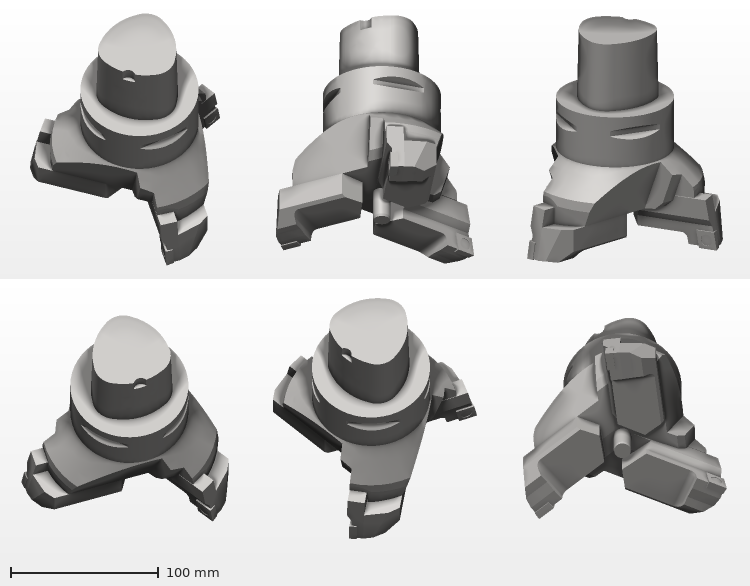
import cadquery as cq
import math

ARM_TURNS = [0, -117, 123]
REACH = 118.4

TOP_Z = 148
FLANGE_TOP_Z = 99.9
FLANGE_BOTTOM_Z = 63.6
FLANGE_RADIUS = 80.0 / 2
LOBE_REACH = 29.6
SIDE_REACH = 25.8
JOINT_REACH = 28.0
JOINT_ANGLE = 39.7
SHANK_SHRINK = 1.2
KEYWAY_RADIUS = 5.0
KEYWAY_CENTRE_Y = -26.8
KEYWAY_DEPTH = 8.1

SLOT_Z = 87.8
SLOT_MOUTH = 9.0
SLOT_FLOOR = 3.5
SLOT_DEPTH = 4.5
SLOT_TURNS = [45, 135, 225, 315]

CONE_END_Z = 44.3
CONE_END_RADIUS = FLANGE_RADIUS + FLANGE_BOTTOM_Z - CONE_END_Z
RIM_Z = 37.9
RIM_RADIUS = 60.8
HUB_BASE_RADIUS = 60.4
HUB_BASE_Z = 24.1
NOSE_X = -60.0
PIN_RADIUS = 12.0 / 2
PIN_BOTTOM_Z = 2.4
PIN_CHAMFER_HEIGHT = 1.8
PIN_CHAMFER_WIDTH = 0.5

FACE_Y = 4.6
BACK_Y = -30.2
PLATE_BACK_Y = -7.1
PLATE_TOP_Z = 36.1
BLOCK_TOP_Z = 27.1
SEAT_SLOPE = 0.128
RAKE_Y = 1.2
RAKE_TOP_Z = 16.6
FACE_BOTTOM_Z = 21.9
FOOT_Z = 1.2
FOOT_RELIEF_Z = 2.2
FOOT_RELIEF_Y = -14.8
BACK_CHAMFER = 9.0
TIP_X = -68.4
TIP_LEAN = 0.185
TIP_RELIEF = 0.19
CORNER_X = -62.5
CORNER_SLOPE = 0.67
SOLE_Z = 9.2
ARCH_OUTER_X = -54.6
ARCH_LEAN = 1.5
ARCH_RADIUS = 4.5
INNER_END = [(-19.1, FACE_Y), (-6.7, -16.3), (-15.0, BACK_Y)]
PLATE_GAP = 0.5

FLOOR_TILT = 16.5
STEP_Y = 13.0
SHELF_CORNER_X = -47.5
SHELF_CORNER_Z = 54.2
SHELF_BOTTOM_Z = 32.9

INSERT_FRONT_Y = 2.5
INSERT_THICKNESS = 5.3
INSERT_CORNERS = [(-75.8, 0), (-62.8, 0), (-60.7, 12.7), (-73.7, 12.7)]
INSERT_SHRINK = 0.5
RECESS_DIAMETER = 8.1
RECESS_DEPTH = 0.5


def turned(body, angle):
    return body.rotate((0, 0, 0), (0, 0, 1), angle)


def seat_z(y):
    """Height of the sloping block top, which is also the underside of the hub."""
    return BLOCK_TOP_Z - SEAT_SLOPE * (y - BACK_Y)


def half_space(point, normal):
    """A very large block that starts at the point and runs along the normal."""
    plane = cq.Plane(origin=point, normal=normal)
    return cq.Workplane(plane).rect(4 * REACH, 4 * REACH).extrude(2 * REACH)


def along_x(points):
    """Prism along the full X range from a (y, z) outline."""
    return cq.Workplane("YZ").polyline(points).close().extrude(REACH, both=True)


def shank():
    def lobed_outline(sketch, shrink):
        """Closed outline of three flat side arcs and three tight lobe arcs."""
        def point(reach, angle):
            angle = math.radians(angle)
            return (reach - shrink) * math.cos(angle), (reach - shrink) * math.sin(angle)

        sketch = sketch.moveTo(*point(JOINT_REACH, -90 - JOINT_ANGLE))
        for side in (-90, 30, 150):
            sketch = sketch.threePointArc(point(SIDE_REACH, side), point(JOINT_REACH, side + JOINT_ANGLE))
            next_joint = point(JOINT_REACH, side + 120 - JOINT_ANGLE)
            sketch = sketch.threePointArc(point(LOBE_REACH, side + 60), next_joint)
        return sketch.close()

    foot = lobed_outline(cq.Workplane("XY", origin=(0, 0, FLANGE_TOP_Z)), 0)
    top_plane = foot.workplane(offset=TOP_Z - FLANGE_TOP_Z, origin=(0, 0))
    body = lobed_outline(top_plane, SHANK_SHRINK).loft(ruled=True)
    keyway = (
        cq.Workplane("XY", origin=(0, KEYWAY_CENTRE_Y, TOP_Z - KEYWAY_DEPTH))
        .circle(KEYWAY_RADIUS)
        .extrude(KEYWAY_DEPTH)
    )
    return body.cut(keyway)


def gripper_slot():
    """Straight groove with sloping walls, on the +X side of the flange."""
    floor_x = FLANGE_RADIUS - SLOT_DEPTH
    return (
        cq.Workplane("XZ")
        .polyline([
            (floor_x, SLOT_Z - SLOT_FLOOR / 2),
            (FLANGE_RADIUS, SLOT_Z - SLOT_MOUTH / 2),
            (FLANGE_RADIUS, SLOT_Z + SLOT_MOUTH / 2),
            (floor_x, SLOT_Z + SLOT_FLOOR / 2),
        ])
        .close()
        .extrude(FLANGE_RADIUS, both=True)
    )


def hub_blank():
    """Turned flange, cone and barrel, down to the lowest point of the underside."""
    return (
        cq.Workplane("XZ")
        .polyline([
            (0, HUB_BASE_Z),
            (HUB_BASE_RADIUS, HUB_BASE_Z),
            (RIM_RADIUS, RIM_Z),
            (CONE_END_RADIUS, CONE_END_Z),
            (FLANGE_RADIUS, FLANGE_BOTTOM_Z),
            (FLANGE_RADIUS, FLANGE_TOP_Z),
            (0, FLANGE_TOP_Z),
        ])
        .close()
        .revolve(360, (0, 0, 0), (0, 1, 0))
    )


def in_front_of_face(turn, y):
    """Everything on the cutting side of an arm, from y onward."""
    return turned(half_space((0, y, 0), (0, 1, 0)), turn)


def chip_pocket(face_turn, back_turn):
    """Stepped pocket between the cutting face of one arm and the tilted back of the next."""
    high_z = FLANGE_BOTTOM_Z + 1.5
    lean = math.tan(math.radians(FLOOR_TILT))

    def floor_y(z):
        return BACK_Y - lean * (z - BLOCK_TOP_Z)

    pitch = math.radians(face_turn - back_turn)
    corner_y = SHELF_CORNER_X * math.sin(pitch) + STEP_Y * math.cos(pitch)

    def shelf_y(z):
        return corner_y - lean * (z - SHELF_CORNER_Z)

    floor = along_x([
        (floor_y(high_z), high_z),
        (BACK_Y, BLOCK_TOP_Z),
        (BACK_Y, 0),
        (-REACH, 0),
        (-REACH, high_z),
    ])
    undercut = SHELF_BOTTOM_Z - HUB_BASE_Z
    shelf = along_x([
        (shelf_y(high_z), high_z),
        (shelf_y(SHELF_BOTTOM_Z), SHELF_BOTTOM_Z),
        (shelf_y(SHELF_BOTTOM_Z) + undercut, HUB_BASE_Z),
        (-REACH, HUB_BASE_Z),
        (-REACH, high_z),
    ])
    floor_cut = turned(floor, back_turn).intersect(in_front_of_face(face_turn, STEP_Y))
    shelf_cut = turned(shelf, back_turn).intersect(in_front_of_face(face_turn, FACE_Y))
    return floor_cut.union(shelf_cut)


def underside(turn, face_turn):
    """Space under the hub from one arm's face plane back to the face plane before it."""
    below_seat = along_x([
        (FACE_Y, 0),
        (FACE_Y, seat_z(FACE_Y)),
        (-REACH, seat_z(-REACH)),
        (-REACH, 0),
    ])
    return turned(below_seat, turn).intersect(in_front_of_face(face_turn, FACE_Y))


def plan_outline():
    """Cartridge seen along Z: pointed inner end, cut-off outer back corner."""
    return (
        cq.Workplane("XY")
        .polyline(INNER_END + [
            (CORNER_X, BACK_Y),
            (CORNER_X - CORNER_SLOPE * (FACE_Y - BACK_Y), FACE_Y),
        ])
        .close()
        .extrude(REACH)
    )


def cartridge_slot():
    """Room for a cartridge in the hub, with play round the raised plate."""
    side_y = PLATE_BACK_Y - PLATE_GAP
    top_z = PLATE_TOP_Z + PLATE_GAP
    section = along_x([
        (FACE_Y, 0),
        (FACE_Y, top_z),
        (side_y, top_z),
        (side_y, seat_z(side_y)),
        (BACK_Y, BLOCK_TOP_Z),
        (BACK_Y, 0),
    ])
    return section.intersect(plan_outline())


def insert_blank():
    """Leaning four-sided plate whose sides draw in toward its back."""
    front = cq.Workplane("XZ", origin=(0, INSERT_FRONT_Y, 0)).polyline(INSERT_CORNERS).close()
    back = (
        cq.Workplane("XZ", origin=(0, INSERT_FRONT_Y - INSERT_THICKNESS, 0))
        .polyline(INSERT_CORNERS)
        .close()
        .offset2D(-INSERT_SHRINK)
    )
    return cq.Workplane(cq.Solid.makeLoft([front.val(), back.val()], True))


def cartridge():
    section = along_x([
        (FACE_Y, PLATE_TOP_Z),
        (FACE_Y, FACE_BOTTOM_Z),
        (RAKE_Y, RAKE_TOP_Z),
        (RAKE_Y, FOOT_Z),
        (PLATE_BACK_Y, FOOT_Z),
        (FOOT_RELIEF_Y, FOOT_RELIEF_Z),
        (BACK_Y + BACK_CHAMFER, FOOT_RELIEF_Z),
        (BACK_Y, FOOT_RELIEF_Z + BACK_CHAMFER),
        (BACK_Y, BLOCK_TOP_Z),
        (PLATE_BACK_Y, seat_z(PLATE_BACK_Y)),
        (PLATE_BACK_Y, PLATE_TOP_Z),
    ])
    side = (
        cq.Workplane("XZ")
        .polyline([
            (TIP_X, PLATE_TOP_Z),
            (TIP_X - TIP_LEAN * PLATE_TOP_Z, 0),
            (ARCH_OUTER_X, 0),
            (ARCH_OUTER_X + ARCH_LEAN, SOLE_Z),
            (0, SOLE_Z),
            (0, PLATE_TOP_Z),
        ])
        .close()
        .extrude(REACH, both=True)
    )
    arch_corner = cq.selectors.NearestToPointSelector((ARCH_OUTER_X + ARCH_LEAN, 0, SOLE_Z))
    side = side.edges(arch_corner).fillet(ARCH_RADIUS)
    relief = half_space((TIP_X, PLATE_BACK_Y, PLATE_TOP_Z), (-1, -TIP_RELIEF, TIP_LEAN))
    body = section.intersect(side).intersect(plan_outline())
    return body.cut(relief).cut(insert_blank())


def insert():
    x = sum(corner[0] for corner in INSERT_CORNERS) / len(INSERT_CORNERS)
    z = sum(corner[1] for corner in INSERT_CORNERS) / len(INSERT_CORNERS)
    recess = (
        cq.Workplane("XZ", origin=(x, INSERT_FRONT_Y, z))
        .circle(RECESS_DIAMETER / 2)
        .extrude(RECESS_DEPTH)
    )
    return insert_blank().cut(recess)


def pin():
    return (
        cq.Workplane("XY", origin=(0, 0, PIN_BOTTOM_Z))
        .circle(PIN_RADIUS)
        .extrude(FLANGE_BOTTOM_Z - PIN_BOTTOM_Z)
        .faces("<Z")
        .chamfer(PIN_CHAMFER_HEIGHT, PIN_CHAMFER_WIDTH)
    )


def head():
    body = hub_blank()
    for turn in SLOT_TURNS:
        body = body.cut(turned(gripper_slot(), turn))
    for i, turn in enumerate(ARM_TURNS):
        previous = ARM_TURNS[i - 1]
        body = body.cut(chip_pocket(previous, turn))
        body = body.cut(underside(turn, previous))
        body = body.cut(turned(cartridge_slot(), turn))
        body = body.cut(turned(half_space((NOSE_X, 0, 0), (-1, 0, 0)), turn))
    return body.union(shank()).union(pin())


cartridges = [turned(cartridge(), turn) for turn in ARM_TURNS]
inserts = [turned(insert(), turn) for turn in ARM_TURNS]

result = cq.Compound.makeCompound(
    [head().val()] + [body.val() for body in cartridges] + [body.val() for body in inserts]
)